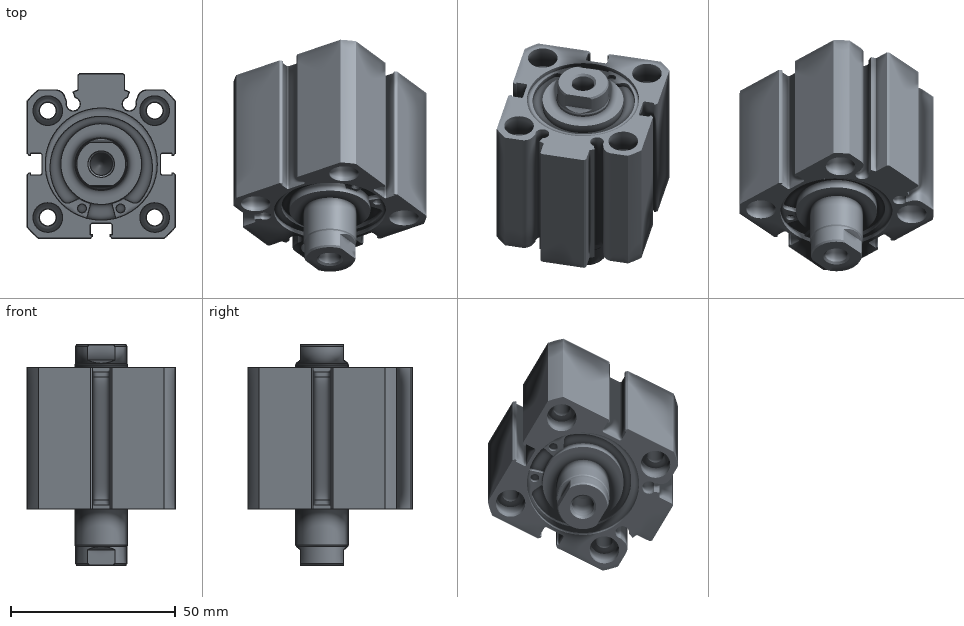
import cadquery as cq
import math


housing_width = 45.0
housing_height = 43.0
half_width = housing_width / 2
half_height = housing_height / 2
corner_flat_end = 19.1
corner_radius = math.hypot(half_width, corner_flat_end)
bore_radius = 17.0

rail_half_width = 7.1
rail_top = 27.5
rail_chamfer = 0.55
tooth_tip_x = 8.6
tooth_tip_y = 21.85
tooth_root_x = 7.9
tooth_root_y = 20.2
undercut_x = 8.5
undercut_y = 18.2
undercut_radius = 2.1
mouth_angle = math.radians(20)
shoulder_radius = 3.0
shoulder_x = 13.95

slot_floor = 18.0
slot_width = 6.55
slot_mouth_width = 5.35
slot_lip = 1.1
slot_lip_chamfer = 0.6
slot_floor_chamfer = 0.35

mount_offset = 16.2
mount_hole_radius = 2.55
mount_counterbore_radius = 4.5
mount_counterbore_depth = 7.05

rod_tip_radius = 7.8
rod_top_reach = 7.0
rod_length = 67.0
rod_tip_length = 5.75
rod_shoulder_height = 0.4
rod_shoulder_width = 0.23
rod_radius = rod_tip_radius + rod_shoulder_width
rod_chamfer_width = 0.35
rod_chamfer_height = 0.6
rod_top = half_height + rod_top_reach
rod_bottom = rod_top - rod_length

flat_half_width = 6.55
flat_length = 4.7
flat_runout_height = 1.0
tap_radius = 3.4
tap_mouth_radius = 4.0
tap_depth = 13.4
tap_point_depth = 2.0

ring_depth = 1.35
ring_thickness = 1.5
groove_wall = 0.15
groove_radius = slot_floor - groove_wall
ring_opening_radius = 15.55
ring_opening_y = -1.0
ring_gap_half_angle = math.radians(15)
ear_clearance = 0.15
ear_apex_y = -7.3
ear_slope = math.radians(25)
ear_fillet = 2.0
ear_hole_radius = 1.35
ear_hole_orbit = 14.7
ear_hole_angle = math.radians(23.5)
ring_outer_z = half_height - ring_depth
ring_inner_z = ring_outer_z - ring_thickness

collar_boss_radius = 12.25
collar_flange_thickness = 10.05


def polar(radius, angle):
    return radius * math.cos(angle), radius * math.sin(angle)


def cylinder(radius, z_bottom, z_top):
    return cq.Workplane("XY").workplane(offset=z_bottom).circle(radius).extrude(z_top - z_bottom)


def mirrored_in_z(body):
    return body.mirror("XY")


def make_half_housing():
    """Solid profile on the +X side of the YZ plane."""
    corner_mid = corner_radius * math.sqrt(0.5)
    shoulder_y = half_width - shoulder_radius
    shoulder_mid_angle = (math.pi / 2 + math.pi - mouth_angle) / 2

    def shoulder_point(angle):
        dx, dy = polar(shoulder_radius, angle)
        return shoulder_x + dx, shoulder_y + dy

    def undercut_point(angle):
        dx, dy = polar(undercut_radius, angle)
        return undercut_x + dx, undercut_y + dy

    wall_x, wall_y = shoulder_point(math.pi - mouth_angle)
    across_wall_x = (wall_x - undercut_x) * math.cos(mouth_angle)
    across_wall_y = (wall_y - undercut_y) * math.sin(mouth_angle)
    wall_distance = across_wall_x - across_wall_y
    wall_angle = math.acos(wall_distance / undercut_radius) - mouth_angle
    root_angle = math.pi - math.acos((undercut_x - tooth_root_x) / undercut_radius)
    bottom_angle = -math.pi / 2

    return (
        cq.Workplane("XY").workplane(offset=-half_height)
        .moveTo(0, -half_width)
        .lineTo(corner_flat_end, -half_width)
        .threePointArc((corner_mid, -corner_mid), (half_width, -corner_flat_end))
        .lineTo(half_width, corner_flat_end)
        .threePointArc((corner_mid, corner_mid), (corner_flat_end, half_width))
        .lineTo(shoulder_x, half_width)
        .threePointArc(shoulder_point(shoulder_mid_angle), (wall_x, wall_y))
        .lineTo(*undercut_point(wall_angle))
        .threePointArc(undercut_point(bottom_angle), undercut_point(root_angle))
        .lineTo(tooth_root_x, tooth_root_y)
        .lineTo(tooth_tip_x, tooth_tip_y)
        .lineTo(rail_half_width, half_width)
        .lineTo(rail_half_width, rail_top - rail_chamfer)
        .lineTo(rail_half_width - rail_chamfer, rail_top)
        .lineTo(0, rail_top)
        .close()
        .extrude(housing_height)
    )


def make_sensor_slot():
    """Cutter for the slot on the -Y side."""
    lip_y = half_width - slot_lip
    chamfer_y = half_width - slot_lip_chamfer
    mouth = slot_mouth_width / 2
    half_slot = [
        (slot_width / 2 - slot_floor_chamfer, -slot_floor),
        (slot_width / 2, -slot_floor - slot_floor_chamfer),
        (slot_width / 2, -lip_y),
        (mouth, -lip_y),
        (mouth, -chamfer_y),
        (mouth + slot_lip_chamfer, -half_width),
    ]
    other_half = [(-x, y) for x, y in reversed(half_slot)]
    return (
        cq.Workplane("XY").workplane(offset=-half_height)
        .polyline(half_slot + other_half).close()
        .extrude(housing_height)
    )


def make_mount_hole():
    seat_z = half_height - mount_counterbore_depth
    upper_counterbore = cylinder(mount_counterbore_radius, seat_z, half_height)
    return (
        cylinder(mount_hole_radius, -half_height, half_height)
        .union(upper_counterbore)
        .union(mirrored_in_z(upper_counterbore))
    )


def make_housing():
    right_half = make_half_housing()
    body = right_half.union(right_half.mirror("YZ"))
    body = body.cut(cylinder(bore_radius, -half_height, half_height))

    groove = cylinder(groove_radius, ring_inner_z, ring_outer_z)
    body = body.cut(groove).cut(mirrored_in_z(groove))

    slot = make_sensor_slot()
    for turn in (-90, 0, 90):
        body = body.cut(slot.rotate((0, 0, 0), (0, 0, 1), turn))

    mount_hole = make_mount_hole()
    for x in (-mount_offset, mount_offset):
        for y in (-mount_offset, mount_offset):
            body = body.cut(mount_hole.translate((x, y, 0)))
    return body


def make_tip_cutter():
    """Wrench flats and tapped hole of an upward rod tip whose end face lies on Z = 0."""
    outside = 2 * rod_radius
    runout_bottom = -flat_length - flat_runout_height
    flat = (
        cq.Workplane("YZ").workplane(offset=-rod_radius)
        .moveTo(flat_half_width, 0)
        .lineTo(flat_half_width, -flat_length)
        .lineTo(rod_tip_radius, runout_bottom)
        .lineTo(outside, runout_bottom)
        .lineTo(outside, 0)
        .close()
        .extrude(2 * rod_radius)
    )
    tapped_hole = (
        cq.Workplane("XZ")
        .moveTo(0, 0)
        .lineTo(tap_mouth_radius, 0)
        .lineTo(tap_radius, tap_radius - tap_mouth_radius)
        .lineTo(tap_radius, -tap_depth)
        .lineTo(0, -tap_depth - tap_point_depth)
        .close()
        .revolve(360, (0, 0), (0, 1))
    )
    return flat.union(flat.mirror("XZ")).union(tapped_hole)


def make_rod():
    tip_face_radius = rod_tip_radius - rod_chamfer_width
    upper_shoulder = rod_top - rod_tip_length
    lower_shoulder = rod_bottom + rod_tip_length
    body = (
        cq.Workplane("XZ")
        .moveTo(0, rod_bottom)
        .lineTo(tip_face_radius, rod_bottom)
        .lineTo(rod_tip_radius, rod_bottom + rod_chamfer_height)
        .lineTo(rod_tip_radius, lower_shoulder)
        .lineTo(rod_radius, lower_shoulder + rod_shoulder_height)
        .lineTo(rod_radius, upper_shoulder - rod_shoulder_height)
        .lineTo(rod_tip_radius, upper_shoulder)
        .lineTo(rod_tip_radius, rod_top - rod_chamfer_height)
        .lineTo(tip_face_radius, rod_top)
        .lineTo(0, rod_top)
        .close()
        .revolve(360, (0, 0), (0, 1))
    )
    tip_cutter = make_tip_cutter()
    return (
        body
        .cut(tip_cutter.translate((0, 0, rod_top)))
        .cut(mirrored_in_z(tip_cutter).translate((0, 0, rod_bottom)))
    )


def make_upper_collar():
    flange = cylinder(bore_radius, ring_inner_z - collar_flange_thickness, ring_inner_z)
    boss = cylinder(collar_boss_radius, ring_inner_z, half_height)
    return flange.union(boss).cut(cylinder(rod_radius, rod_bottom, rod_top))


def make_upper_ring():
    def ring_plane():
        return cq.Workplane("XY").workplane(offset=ring_inner_z)

    def triangle(apex_y, half_angle):
        """Triangle that opens toward -Y and reaches past the ring."""
        base_y = -2 * groove_radius
        half_base = (apex_y - base_y) * math.tan(half_angle)
        return (
            ring_plane()
            .polyline([(0, apex_y), (half_base, base_y), (-half_base, base_y)]).close()
            .extrude(ring_thickness)
        )

    ears = triangle(ear_apex_y, math.pi / 2 - ear_slope)
    opening = (
        cylinder(ring_opening_radius, ring_inner_z, ring_outer_z)
        .translate((0, ring_opening_y, 0))
        .cut(ears)
        .edges("|Z").edges("<X or >X").fillet(ear_fillet)
    )
    body = (
        cylinder(groove_radius, ring_inner_z, ring_outer_z)
        .cut(opening)
        .cut(cylinder(collar_boss_radius + ear_clearance, ring_inner_z, ring_outer_z))
        .cut(triangle(0, ring_gap_half_angle))
    )
    hole_x = ear_hole_orbit * math.sin(ear_hole_angle)
    hole_y = -ear_hole_orbit * math.cos(ear_hole_angle)
    ear_holes = (
        ring_plane()
        .pushPoints([(-hole_x, hole_y), (hole_x, hole_y)])
        .circle(ear_hole_radius)
        .extrude(ring_thickness)
    )
    return body.cut(ear_holes)


housing = make_housing()
rod = make_rod()
upper_collar = make_upper_collar()
upper_ring = make_upper_ring()

bodies = [housing.val(), rod.val()]
for upper_body in (upper_collar, upper_ring):
    lower_body = mirrored_in_z(upper_body)
    bodies.extend([upper_body.val(), lower_body.val()])

result = cq.Compound.makeCompound(bodies)